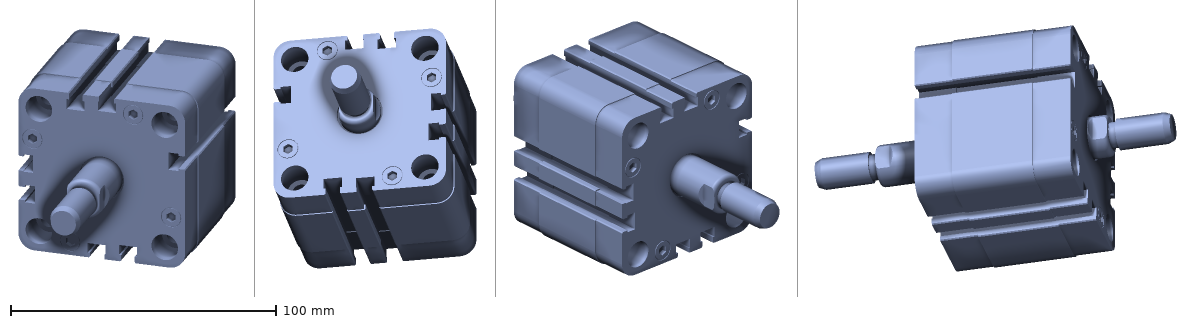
import cadquery as cq
import math


barrel_side = 67.0
barrel_corner_radius = 6.8
cap_inset = 0.4
cap_side = barrel_side - 2 * cap_inset
cap_corner_radius = barrel_corner_radius - cap_inset
cap_length = 14.7
body_length = 60.8
barrel_length = body_length - 2 * cap_length

slot_throat_width = 5.4
slot_lip_chamfer = 0.4
slot_inner_width = 7.0
outer_slot_offset = -10.4
outer_slot_lip_depth = 3.0
outer_slot_depth = 7.0
middle_slot_offset = 2.1
middle_slot_lip_depth = 2.4
middle_slot_depth = 6.2
barrel_extra_depth = 0.4
short_lip_overhang = 0.3
side_count = 4
plain_side = 3

mount_hole_spacing = 50.0
mount_hole_diameter = 6.6
counterbore_diameter = 10.5
counterbore_depth = 12.5

screw_place = (12.5, 27.5)
screw_pocket_diameter = 8.0
screw_pocket_depth = 0.4
screw_head_diameter = 7.5
screw_socket_across_corners = 4.2
screw_socket_depth = 2.1

rod_diameter = 16.0
rod_clearance_diameter = 17.6
rod_clearance_depth = 1.0
rod_shoulder_radius = 1.7
front_rod_length = 22.5
rear_rod_length = 7.3
flat_spacing = 13.0
flat_length = 5.7
neck_diameter = 10.0
neck_length = 2.9
thread_diameter = 12.0
thread_length = 21.0
thread_tip_diameter = 10.0
thread_tip_length = 2.5


def rounded_block(side, corner_radius, y_start, length):
    """Square block with rounded long edges, reaching from y_start towards +Y."""
    block = cq.Workplane("XY").box(side, length, side)
    return block.edges("|Y").fillet(corner_radius).translate((0, y_start + length / 2, 0))


def front_cylinder(diameter, depth, x, z):
    """Cylinder reaching from the front cap face into the body."""
    sketch = cq.Workplane("XZ").center(x, z).circle(diameter / 2)
    return sketch.extrude(-depth)


def slot_cutter(offset, lip_depth, depth, side, y_start, length, short_lip=False):
    """T-slot opening at +Z through a block of the given side; short_lip cuts back its -X lip."""
    half_throat = slot_throat_width / 2
    half_inner = slot_inner_width / 2
    mouth = half_throat + slot_lip_chamfer
    top = side / 2
    lip_bottom = barrel_side / 2 - lip_depth
    floor = barrel_side / 2 - depth
    points = [
        (half_inner, floor),
        (half_inner, lip_bottom),
        (half_throat, lip_bottom),
        (half_throat, top - slot_lip_chamfer),
        (mouth, top),
    ]
    if short_lip:
        lip_edge = half_inner - short_lip_overhang
        points += [(-lip_edge, top), (-lip_edge, lip_bottom), (-half_inner, lip_bottom)]
    else:
        points += [(-x, z) for x, z in reversed(points[1:])]
    points += [(-half_inner, floor)]
    sketch = cq.Workplane("XZ", origin=(offset, y_start, 0)).polyline(points).close()
    return sketch.extrude(-length)


def cut_slots(block, side, y_start, length, is_cap):
    """Cut the slots of all four sides, turning the +Z pattern about the rod axis."""
    extra_depth = 0 if is_cap else barrel_extra_depth
    outer_depth = outer_slot_depth + extra_depth
    middle_depth = middle_slot_depth + extra_depth
    outer = slot_cutter(outer_slot_offset, outer_slot_lip_depth, outer_depth, side, y_start, length)
    middle = slot_cutter(
        middle_slot_offset, middle_slot_lip_depth, middle_depth, side, y_start, length, short_lip=is_cap
    )
    for index in range(side_count):
        angle = -index * 360 / side_count
        block = block.cut(outer.rotate((0, 0, 0), (0, 1, 0), angle))
        if index != plain_side:
            block = block.cut(middle.rotate((0, 0, 0), (0, 1, 0), angle))
    return block


def body_section(side, corner_radius, y_start, length, is_cap):
    """One length of the body with its slots."""
    block = rounded_block(side, corner_radius, y_start, length)
    return cut_slots(block, side, y_start, length, is_cap)


def rod_end(shoulder):
    """Rod end reaching from Y = 0 towards -Y; shoulder is its length up to the neck."""
    thread_start = shoulder + neck_length
    thread_end = thread_start + thread_length
    round_end = rod_diameter / 2 - rod_shoulder_radius
    round_middle = rod_shoulder_radius * math.sqrt(0.5)
    profile = (
        cq.Workplane("XY")
        .moveTo(0, 0)
        .lineTo(rod_diameter / 2, 0)
        .lineTo(rod_diameter / 2, -(shoulder - rod_shoulder_radius))
        .threePointArc(
            (round_end + round_middle, -(shoulder - rod_shoulder_radius + round_middle)),
            (round_end, -shoulder),
        )
        .lineTo(neck_diameter / 2, -shoulder)
        .lineTo(neck_diameter / 2, -thread_start)
        .lineTo(thread_diameter / 2, -thread_start)
        .lineTo(thread_diameter / 2, -(thread_end - thread_tip_length))
        .lineTo(thread_tip_diameter / 2, -thread_end)
        .lineTo(0, -thread_end)
        .close()
    )
    rod = profile.revolve(360, (0, 0, 0), (0, 1, 0))

    flat_x = flat_spacing / 2
    ramp = rod_diameter / 2 - flat_x
    flat_start = -shoulder + flat_length
    flat = (
        cq.Workplane("XY", origin=(0, 0, -rod_diameter / 2))
        .polyline([
            (flat_x, -shoulder),
            (flat_x, flat_start),
            (flat_x + ramp, flat_start + ramp),
            (flat_x + ramp, -shoulder),
        ])
        .close()
        .extrude(rod_diameter)
    )
    return rod.cut(flat).cut(flat.mirror("YZ"))


def mount_hole_cutter(diameter, depth):
    """Four corner cylinders reaching from the front cap face into the body."""
    square = cq.Workplane("XZ").rect(mount_hole_spacing, mount_hole_spacing, forConstruction=True)
    return square.vertices().circle(diameter / 2).extrude(-depth)


def cut_screws(body):
    """Cap screws: a thin ring gap around each head and a hexagon socket with corners at +Z and -Z."""
    socket_radius = screw_socket_across_corners / 2
    corner_angles = [math.radians(90 + 60 * corner) for corner in range(6)]
    corners = [(socket_radius * math.cos(a), socket_radius * math.sin(a)) for a in corner_angles]
    x, z = screw_place
    for _ in range(side_count):
        gap = front_cylinder(screw_pocket_diameter, screw_pocket_depth, x, z)
        gap = gap.cut(front_cylinder(screw_head_diameter, screw_pocket_depth, x, z))
        socket = cq.Workplane("XZ").center(x, z).polyline(corners).close().extrude(-screw_socket_depth)
        body = body.cut(gap).cut(socket)
        x, z = -z, x
    return body


def cut_front_face(body):
    """Features sunk into the front cap face: counterbores, screws and rod clearance."""
    body = body.cut(mount_hole_cutter(counterbore_diameter, counterbore_depth))
    body = cut_screws(body)
    return body.cut(front_cylinder(rod_clearance_diameter, rod_clearance_depth, 0, 0))


def swap_ends(shape):
    """Mirror a shape about the middle of the body, exchanging front and rear."""
    return shape.mirror("XZ", (0, body_length / 2, 0))


rear_cap_start = cap_length + barrel_length
front_cap = body_section(cap_side, cap_corner_radius, 0, cap_length, True)
barrel = body_section(barrel_side, barrel_corner_radius, cap_length, barrel_length, False)
rear_cap = body_section(cap_side, cap_corner_radius, rear_cap_start, cap_length, True)
body = front_cap.union(barrel).union(rear_cap)
body = body.cut(mount_hole_cutter(mount_hole_diameter, body_length))

body = cut_front_face(body)
body = swap_ends(cut_front_face(swap_ends(body)))

front_rod = rod_end(front_rod_length + rod_clearance_depth).translate((0, rod_clearance_depth, 0))
rear_rod = rod_end(rear_rod_length + rod_clearance_depth).translate((0, rod_clearance_depth, 0))

result = body.union(front_rod).union(swap_ends(rear_rod))